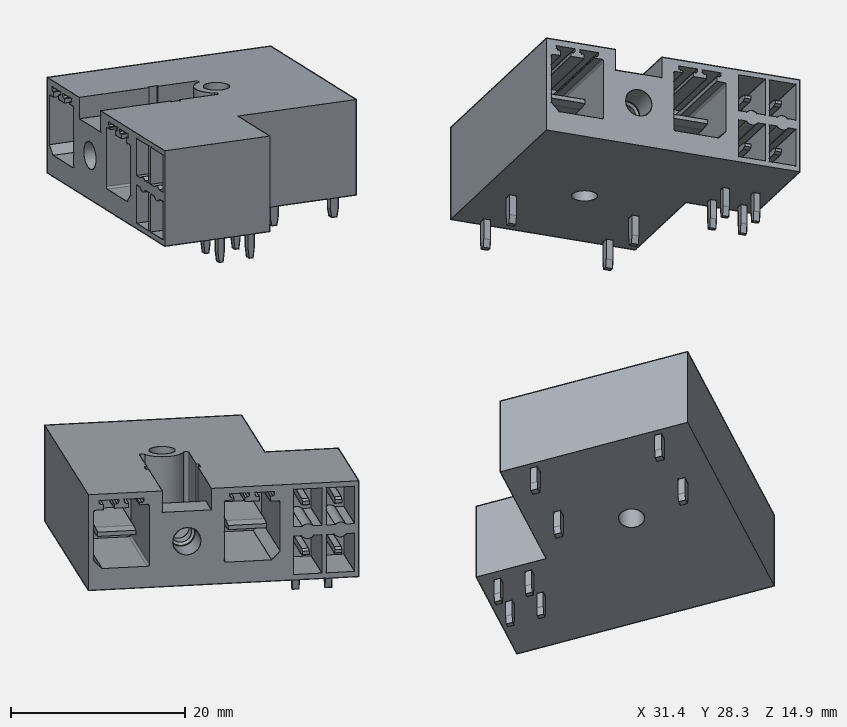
import cadquery as cq
import math


pitch = 3.8
first_column_x = 3.85
housing_width = 31.45
housing_length = 28.3
housing_height = 11.45
power_block_width = 22.9
signal_block_length = 13.3
leg_length = 3.45

power_columns = (first_column_x, first_column_x + 4 * pitch)
screw_x = first_column_x + 2 * pitch
first_signal_x = 25.5
signal_columns = (first_signal_x, first_signal_x + pitch)

socket_half_width = 3.25
socket_bottom_depth = 8.9
socket_length = 12.0
socket_chamfer = 1.0
socket_corner_radius = 0.25
high_shoulder_depth = 1.52
low_shoulder_depth = 1.9
bridge_depth = 1.78
key_top_depth = 0.76
key_head_depth = 1.27
key_head_inner = 0.32
key_head_outer = 2.6
key_neck_inner = 0.83
key_neck_outer = 2.1
key_bevel = 0.2

blade_width = 4.45
blade_thickness = 0.8
blade_depth = 5.71
blade_recess = 3.05
blade_bevel_length = 1.5
blade_bevel_height = 0.15
power_leg_width = 0.85
power_leg_thickness = 1.0
power_leg_rear_y = 27.14
power_leg_ys = (power_leg_rear_y - 2 * pitch, power_leg_rear_y)
power_leg_tip_length = 1.0
power_leg_tip_inset = 0.18

signal_socket_width = 3.3
signal_socket_length = 7.0
upper_socket_depths = (0.63, 5.08)
lower_socket_depths = (6.22, 10.79)
key_rib_depth = 5.7
key_rib_radius = 0.88
signal_pin_size = 0.78
signal_pin_recess = 1.2
signal_bevel_length = 0.5
signal_bevel_height = 0.2
signal_rear_leg_y = 11.77
signal_rows = (
    (2.67, signal_rear_leg_y),
    (8.63, signal_rear_leg_y - pitch),
)
signal_leg_tip_length = 1.15
signal_leg_tip_inset = 0.15

mount_hole_diameter = 3.0
mount_hole_y = 16.0
boss_radius = 2.6
slot_half_width = 2.86
slot_corner_width = 0.62
shelf_depth = 2.56
shelf_length = 3.6
notch_half_width = 3.15
notch_start_y = 8.85
notch_end_y = 9.95
nut_size = 5.5
nut_thickness = 2.2
nut_bore_diameter = 2.5
nut_countersink = 0.3
screw_depth = 6.16
screw_hole_diameter = 3.25
slot_depth = screw_depth + nut_size / 2


def box(x_range, y_range, z_range):
    """Box between the given limits."""
    sizes = [high - low for low, high in (x_range, y_range, z_range)]
    corner = (x_range[0], y_range[0], z_range[0])
    return cq.Workplane("XY").box(*sizes, centered=False).translate(corner)


def front_plane(x, depth):
    """XZ sketch plane on the mating face; positive extrusion runs out towards -Y."""
    return cq.Workplane("XZ", origin=(x, 0, housing_height - depth))


def tapered_bar(x, width, tip_y, end_y, centre_z, thickness, bevel_length, bevel_height):
    """Horizontal bar along Y whose front end is bevelled above and below."""
    half = thickness / 2
    nose = half - bevel_height
    profile = [
        (tip_y, centre_z - nose),
        (tip_y + bevel_length, centre_z - half),
        (end_y, centre_z - half),
        (end_y, centre_z + half),
        (tip_y + bevel_length, centre_z + half),
        (tip_y, centre_z + nose),
    ]
    sketch = cq.Workplane("YZ", origin=(x, 0, 0)).polyline(profile).close()
    return sketch.extrude(width / 2, both=True)


def solder_leg(x, y, top_z, width, thickness, tip_length, tip_inset):
    """Vertical leg ending below the housing in a tip that narrows along Y."""
    half = thickness / 2
    profile = [
        (y - half, top_z),
        (y - half, tip_length - leg_length),
        (y - half + tip_inset, -leg_length),
        (y + half - tip_inset, -leg_length),
        (y + half, tip_length - leg_length),
        (y + half, top_z),
    ]
    sketch = cq.Workplane("YZ", origin=(x, 0, 0)).polyline(profile).close()
    return sketch.extrude(width / 2, both=True)


def make_power_contact(x):
    """Flat blade with two solder legs."""
    centre_z = housing_height - blade_depth
    end_y = power_leg_rear_y + power_leg_thickness / 2
    contact = tapered_bar(
        x, blade_width, blade_recess, end_y, centre_z,
        blade_thickness, blade_bevel_length, blade_bevel_height,
    )
    for leg_y in power_leg_ys:
        contact = contact.union(solder_leg(
            x, leg_y, centre_z, power_leg_width, power_leg_thickness,
            power_leg_tip_length, power_leg_tip_inset,
        ))
    return contact


def make_signal_contact(x, depth, leg_y):
    """Square pin bent down into one solder leg."""
    centre_z = housing_height - depth
    end_y = leg_y + signal_pin_size / 2
    contact = tapered_bar(
        x, signal_pin_size, signal_pin_recess, end_y, centre_z,
        signal_pin_size, signal_bevel_length, signal_bevel_height,
    )
    return contact.union(solder_leg(
        x, leg_y, centre_z, signal_pin_size, signal_pin_size,
        signal_leg_tip_length, signal_leg_tip_inset,
    ))


def make_nut():
    """Square nut standing against the rear of the front wall, countersunk on both faces."""
    nut = front_plane(screw_x, screw_depth).rect(nut_size, nut_size).extrude(-nut_thickness)
    bore = front_plane(screw_x, screw_depth).circle(nut_bore_diameter / 2).extrude(-nut_thickness)
    nut = nut.cut(bore)
    nut = nut.faces("<Y or >Y").edges("%CIRCLE").chamfer(nut_countersink)
    return nut.translate((0, shelf_length, 0))


def power_socket(x, chamfer_side):
    """Keyed power socket; chamfer_side is +1 or -1 along X."""
    body_points = [
        (-socket_half_width, -high_shoulder_depth),
        (key_neck_inner, -high_shoulder_depth),
        (key_neck_inner, -low_shoulder_depth),
        (socket_half_width, -low_shoulder_depth),
        (socket_half_width, socket_chamfer - socket_bottom_depth),
        (socket_half_width - socket_chamfer, -socket_bottom_depth),
        (-socket_half_width, -socket_bottom_depth),
    ]
    cutter = front_plane(0, 0).polyline(body_points).close().extrude(-socket_length)
    cutter = cutter.edges("|Y and <X").fillet(socket_corner_radius)
    cutter = cutter.faces(">X").edges("|Y").edges(">Z").fillet(socket_corner_radius)

    bridge = box(
        (-key_neck_inner, key_neck_inner),
        (0, socket_length),
        (housing_height - bridge_depth, housing_height - high_shoulder_depth),
    )
    cutter = cutter.cut(bridge)

    key_points = [
        (key_head_inner, -key_top_depth),
        (key_head_outer, -key_top_depth),
        (key_head_outer, key_bevel - key_head_depth),
        (key_head_outer - key_bevel, -key_head_depth),
        (key_neck_outer, -key_head_depth),
        (key_neck_outer, -low_shoulder_depth),
        (key_neck_inner, -low_shoulder_depth),
        (key_neck_inner, -key_head_depth),
        (key_head_inner + key_bevel, -key_head_depth),
        (key_head_inner, key_bevel - key_head_depth),
    ]
    key = front_plane(0, 0).polyline(key_points).close().extrude(-socket_length)
    cutter = cutter.union(key).union(key.mirror("YZ"))
    if chamfer_side < 0:
        cutter = cutter.mirror("YZ")
    return cutter.translate((x, 0, 0))


def signal_socket_pair(x):
    """Upper and lower signal sockets with the round keying rib left between them."""
    x_range = (x - signal_socket_width / 2, x + signal_socket_width / 2)
    sockets = cq.Workplane("XY")
    for top_depth, bottom_depth in (upper_socket_depths, lower_socket_depths):
        z_range = (housing_height - bottom_depth, housing_height - top_depth)
        sockets = sockets.add(box(x_range, (0, signal_socket_length), z_range))
    rib = front_plane(x, key_rib_depth).circle(key_rib_radius).extrude(-signal_socket_length)
    return [cq.Workplane(socket).cut(rib) for socket in sockets.vals()]


def nut_slot():
    """Slot open at the top: shallow over the front wall, deep from the nut to the boss."""
    corner_radius = slot_corner_width / 2
    boss_edge_x = slot_half_width - slot_corner_width
    boss_edge_y = mount_hole_y - math.sqrt(boss_radius ** 2 - boss_edge_x ** 2)
    corner_x = boss_edge_x + corner_radius
    corner_y = boss_edge_y + corner_radius
    deep = (
        cq.Workplane("XY", origin=(screw_x, 0, housing_height))
        .moveTo(-slot_half_width, shelf_length)
        .lineTo(slot_half_width, shelf_length)
        .lineTo(slot_half_width, boss_edge_y)
        .threePointArc((corner_x, corner_y), (boss_edge_x, boss_edge_y))
        .threePointArc((0, mount_hole_y - boss_radius), (-boss_edge_x, boss_edge_y))
        .threePointArc((-corner_x, corner_y), (-slot_half_width, boss_edge_y))
        .close()
        .extrude(-slot_depth)
    )
    notches = box(
        (screw_x - notch_half_width, screw_x + notch_half_width),
        (notch_start_y, notch_end_y),
        (housing_height - slot_depth, housing_height),
    )
    shelf = box(
        (screw_x - slot_half_width, screw_x + slot_half_width),
        (0, shelf_length),
        (housing_height - shelf_depth, housing_height),
    )
    return deep.union(notches).union(shelf)


def make_housing(contacts):
    """L-shaped block with sockets, nut slot, screw holes and passages for the contacts."""
    housing = box((0, power_block_width), (0, housing_length), (0, housing_height))
    housing = housing.union(box((0, housing_width), (0, signal_block_length), (0, housing_height)))

    for x, chamfer_side in zip(power_columns, (-1, 1)):
        housing = housing.cut(power_socket(x, chamfer_side))
    for x in signal_columns:
        for socket in signal_socket_pair(x):
            housing = housing.cut(socket)

    housing = housing.cut(nut_slot())
    mount_hole = (
        cq.Workplane("XY", origin=(screw_x, mount_hole_y, 0))
        .circle(mount_hole_diameter / 2)
        .extrude(housing_height)
    )
    screw_hole = front_plane(screw_x, screw_depth).circle(screw_hole_diameter / 2).extrude(-shelf_length)
    housing = housing.cut(mount_hole).cut(screw_hole)

    for contact in contacts:
        housing = housing.cut(contact)
    return housing


power_contacts = [make_power_contact(x) for x in power_columns]
signal_contacts = [
    make_signal_contact(x, depth, leg_y)
    for x in signal_columns
    for depth, leg_y in signal_rows
]
contacts = power_contacts + signal_contacts
nut = make_nut()
housing = make_housing(contacts)

result = cq.Compound.makeCompound([
    housing.val(),
    nut.val(),
    *[contact.val() for contact in contacts],
])